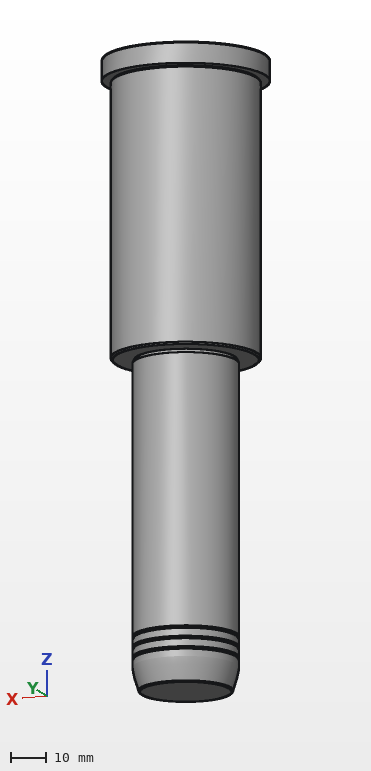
import cadquery as cq

TOTAL_LENGTH = 181.0
HEAD_RADIUS = 23.5
HEAD_THICKNESS = 6.2
HEAD_CHAMFER = 0.4
BODY_RADIUS = 21.0
BODY_BOTTOM_Z = 95.0
BODY_CHAMFER = 0.5
PIN_RADIUS = 29.9 / 2

HEAD_RELIEF = 0.5
NECK_DEPTH = 0.5
NECK_LENGTH = 1.0

NOSE_LENGTH = 6.9
NOSE_TIP_RADIUS = 13.2
NOSE_MID_RADIUS = 14.3
TIP_CHAMFER = 0.4

GROOVE_COUNT = 3
GROOVE_SPAN = 6.0
GROOVE_WIDTH = 0.7
GROOVE_DEPTH = 0.4
LOWEST_GROOVE_Z = 9.5
GROOVE_PITCH = GROOVE_SPAN / (GROOVE_COUNT - 1)

HEAD_BOTTOM_Z = TOTAL_LENGTH - HEAD_THICKNESS


def turned_blank():
    """Revolve the half profile of the nose, pin, neck, body and head."""
    profile = (
        cq.Workplane("XZ")
        .lineTo(NOSE_TIP_RADIUS - TIP_CHAMFER, 0)
        .lineTo(NOSE_TIP_RADIUS, TIP_CHAMFER)
        .threePointArc((NOSE_MID_RADIUS, NOSE_LENGTH / 2), (PIN_RADIUS, NOSE_LENGTH))
        .lineTo(PIN_RADIUS, BODY_BOTTOM_Z - NECK_LENGTH)
        .lineTo(PIN_RADIUS - NECK_DEPTH, BODY_BOTTOM_Z)
        .lineTo(BODY_RADIUS - BODY_CHAMFER, BODY_BOTTOM_Z)
        .lineTo(BODY_RADIUS, BODY_BOTTOM_Z + BODY_CHAMFER)
        .lineTo(BODY_RADIUS, HEAD_BOTTOM_Z - HEAD_RELIEF)
        .lineTo(BODY_RADIUS - HEAD_RELIEF, HEAD_BOTTOM_Z)
        .lineTo(HEAD_RADIUS, HEAD_BOTTOM_Z)
        .lineTo(HEAD_RADIUS, TOTAL_LENGTH - HEAD_CHAMFER)
        .lineTo(HEAD_RADIUS - HEAD_CHAMFER, TOTAL_LENGTH)
        .lineTo(0, TOTAL_LENGTH)
        .close()
    )
    return profile.revolve(360, (0, 0, 0), (0, 1, 0))


def groove_ring(center_z):
    """Ring of material removed by one V-shaped oil groove."""
    half_width = GROOVE_WIDTH / 2
    section = [
        (PIN_RADIUS, center_z - half_width),
        (PIN_RADIUS - GROOVE_DEPTH, center_z),
        (PIN_RADIUS, center_z + half_width),
    ]
    return cq.Workplane("XZ").polyline(section).close().revolve(360, (0, 0, 0), (0, 1, 0))


result = turned_blank()
for index in range(GROOVE_COUNT):
    result = result.cut(groove_ring(LOWEST_GROOVE_Z + index * GROOVE_PITCH))